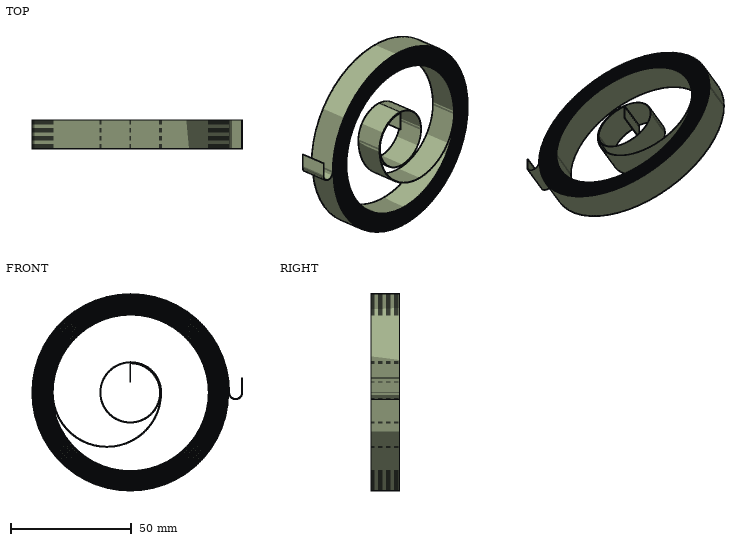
import cadquery as cq
import math


strip_width = 12.0
turn_pitch = 0.4
turn_clearance = 0.002
strip_thickness = turn_pitch - turn_clearance

arbor_radius = 12.0
tab_end_z = 4.4

coil_inner_radius = 32.2
coil_upper_halves = 22

hook_inner_radius = 2.5
hook_leg_height = 6.0

coil_end_x = coil_inner_radius + (coil_upper_halves - 1) * turn_pitch
hook_center_x = coil_end_x + turn_pitch + hook_inner_radius
quarter_middle_angle = math.radians(45)


def winding_crossings():
    """X positions where the inner face of the strip crosses the X axis, from inside to outside."""
    arbor_outer = arbor_radius + turn_pitch
    crossings = [arbor_radius, -arbor_outer, arbor_outer]
    for half in range(coil_upper_halves):
        radius = coil_inner_radius + half * turn_pitch
        crossings += [-radius, radius]
    return crossings


def strip_side(offset):
    """Points along one face of the strip, which lies `offset` outside its inner face.

    Returns the start of the first quarter circle, then (middle, end) of every arc up to the hook.
    """
    start_radius = arbor_radius + offset
    start = (0, start_radius)
    crossings = [x + math.copysign(offset, x) for x in winding_crossings()]

    quarter_middle = (
        start_radius * math.sin(quarter_middle_angle),
        start_radius * math.cos(quarter_middle_angle),
    )
    arcs = [(quarter_middle, (crossings[0], 0))]
    for x_from, x_to in zip(crossings, crossings[1:]):
        middle = ((x_from + x_to) / 2, (x_to - x_from) / 2)
        arcs.append((middle, (x_to, 0)))

    hook_radius = hook_center_x - crossings[-1]
    arcs.append(((hook_center_x, -hook_radius), (hook_center_x + hook_radius, 0)))
    return start, arcs


def strip_outline():
    """Closed outline of the strip: out along the inner face, back along the outer face."""
    inner_start, inner_arcs = strip_side(0)
    outer_start, outer_arcs = strip_side(strip_thickness)

    outline = cq.Workplane("XZ").moveTo(*inner_start)
    for middle, end in inner_arcs:
        outline = outline.threePointArc(middle, end)

    _, (inner_leg_x, _) = inner_arcs[-1]
    _, (outer_leg_x, outer_leg_z) = outer_arcs[-1]
    outline = outline.lineTo(inner_leg_x, hook_leg_height)
    outline = outline.lineTo(outer_leg_x, hook_leg_height)
    outline = outline.lineTo(outer_leg_x, outer_leg_z)

    arc_starts = [outer_start] + [end for _, end in outer_arcs[:-1]]
    for (middle, _), arc_start in zip(reversed(outer_arcs), reversed(arc_starts)):
        outline = outline.threePointArc(middle, arc_start)

    corner_z = math.sqrt(outer_start[1] ** 2 - strip_thickness ** 2)
    outline = outline.lineTo(-strip_thickness, corner_z)
    outline = outline.lineTo(-strip_thickness, tab_end_z)
    outline = outline.lineTo(0, tab_end_z)
    return outline.close()


result = strip_outline().extrude(strip_width / 2, both=True)